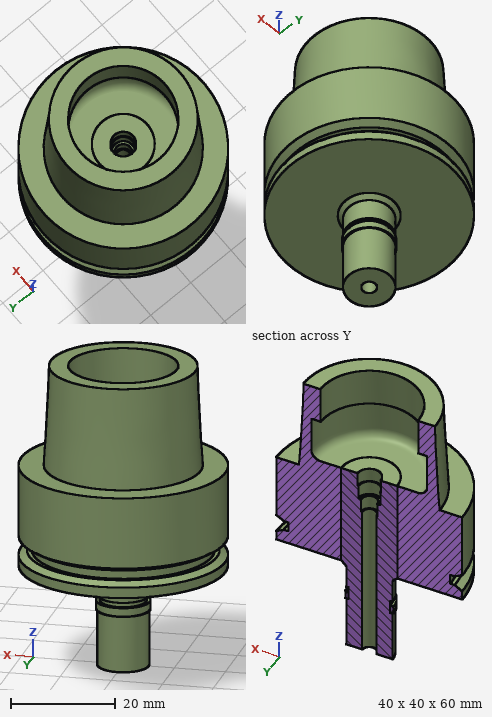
import cadquery as cq
import math

TOTAL_HEIGHT = 60.0
FLANGE_BOTTOM = 20.0
FLANGE_TOP = 40.0

FLANGE_DIAMETER = 40.0
TAPER_RATIO = 0.1
TAPER_BASE_DIAMETER = 30.35
TAPER_TOP_DIAMETER = TAPER_BASE_DIAMETER - TAPER_RATIO * (TOTAL_HEIGHT - FLANGE_TOP)

GROOVE_CENTRE = 24.0
GROOVE_BOTTOM_DIAMETER = 34.9
GROOVE_SLOT_WIDTH = 2.0
GROOVE_MOUTH_WIDTH = 3.85
GROOVE_FLANK_ANGLE = 60.0

BORE_DIAMETER = 21.0
BORE_MOUTH_DEPTH = 8.0
UNDERCUT_DIAMETER = 24.85
UNDERCUT_DEPTH = 17.45
FLOOR_FILLET = 1.9

PLUG_DIAMETER = 12.0
STEM_DIAMETER = 10.0
STEM_CHAMFER = (PLUG_DIAMETER - STEM_DIAMETER) / 2

STEM_HOLE_DIAMETER = 3.0
HOLE_STEP_DIAMETERS = [4.9, 4.6, 3.4]
HOLE_STEP_DEPTH = 3.0

SEAL_GROOVE_DIAMETER = 9.05
SEAL_GROOVE_BOTTOM = 11.2
SEAL_GROOVE_WIDTH = 2.75
SEAL_DIAMETER = 10.45
SEAL_WIDTH = 1.75

FLOOR_HEIGHT = TOTAL_HEIGHT - UNDERCUT_DEPTH


def cylinder(diameter, bottom, top):
    """Upright cylinder on the Z axis between two heights."""
    return cq.Workplane("XY").workplane(offset=bottom).circle(diameter / 2).extrude(top - bottom)


def revolved(points):
    """Solid of revolution about Z from a closed outline of (radius, height) points."""
    return cq.Workplane("YZ").polyline(points).close().revolve(360, (0, 0), (0, 1))


def make_gripper_groove():
    """Ring of material removed from the flange rim."""
    rim = FLANGE_DIAMETER / 2
    half_mouth = GROOVE_MOUTH_WIDTH / 2
    half_slot = GROOVE_SLOT_WIDTH / 2
    flank_end = rim - (half_mouth - half_slot) * math.tan(math.radians(GROOVE_FLANK_ANGLE))
    bottom = GROOVE_BOTTOM_DIAMETER / 2
    return revolved([
        (bottom, GROOVE_CENTRE - half_slot),
        (flank_end, GROOVE_CENTRE - half_slot),
        (rim, GROOVE_CENTRE - half_mouth),
        (rim, GROOVE_CENTRE + half_mouth),
        (flank_end, GROOVE_CENTRE + half_slot),
        (bottom, GROOVE_CENTRE + half_slot),
    ])


def make_clamping_bore():
    """Stepped cavity: mouth, undercut and a rounded corner at the floor."""
    mouth = BORE_DIAMETER / 2
    undercut = UNDERCUT_DIAMETER / 2
    mouth_end = TOTAL_HEIGHT - BORE_MOUTH_DEPTH
    cavity = revolved([
        (0, FLOOR_HEIGHT),
        (undercut, FLOOR_HEIGHT),
        (undercut, mouth_end),
        (mouth, mouth_end),
        (mouth, TOTAL_HEIGHT),
        (0, TOTAL_HEIGHT),
    ])
    return cavity.faces("<Z").edges().fillet(FLOOR_FILLET)


def make_housing():
    """Flange with a hollow taper on top and a hole for the stem's plug."""
    taper = revolved([
        (0, FLANGE_TOP),
        (TAPER_BASE_DIAMETER / 2, FLANGE_TOP),
        (TAPER_TOP_DIAMETER / 2, TOTAL_HEIGHT),
        (0, TOTAL_HEIGHT),
    ])
    body = cylinder(FLANGE_DIAMETER, FLANGE_BOTTOM, FLANGE_TOP).union(taper)
    body = body.cut(make_gripper_groove()).cut(make_clamping_bore())
    return body.cut(cylinder(PLUG_DIAMETER, FLANGE_BOTTOM, FLOOR_HEIGHT))


def make_stem():
    """Plug flush with the housing floor, chamfered down to a grooved shank, with a stepped through hole."""
    plug = PLUG_DIAMETER / 2
    shank = STEM_DIAMETER / 2
    groove = SEAL_GROOVE_DIAMETER / 2
    groove_top = SEAL_GROOVE_BOTTOM + SEAL_GROOVE_WIDTH
    stem = revolved([
        (0, 0),
        (shank, 0),
        (shank, SEAL_GROOVE_BOTTOM),
        (groove, SEAL_GROOVE_BOTTOM),
        (groove, groove_top),
        (shank, groove_top),
        (shank, FLANGE_BOTTOM - STEM_CHAMFER),
        (plug, FLANGE_BOTTOM),
        (plug, FLOOR_HEIGHT),
        (0, FLOOR_HEIGHT),
    ])
    stem = stem.cut(cylinder(STEM_HOLE_DIAMETER, 0, FLOOR_HEIGHT))
    for step, diameter in enumerate(HOLE_STEP_DIAMETERS, start=1):
        stem = stem.cut(cylinder(diameter, FLOOR_HEIGHT - step * HOLE_STEP_DEPTH, FLOOR_HEIGHT))
    return stem


def make_seal_ring():
    """Rectangular-section ring around the stem, standing slightly proud of it."""
    seal_top = SEAL_GROOVE_BOTTOM + SEAL_WIDTH
    outside = cylinder(SEAL_DIAMETER, SEAL_GROOVE_BOTTOM, seal_top)
    return outside.cut(cylinder(SEAL_GROOVE_DIAMETER, SEAL_GROOVE_BOTTOM, seal_top))


housing = make_housing()
stem = make_stem()
seal_ring = make_seal_ring()

result = cq.Compound.makeCompound([housing.val(), stem.val(), seal_ring.val()])